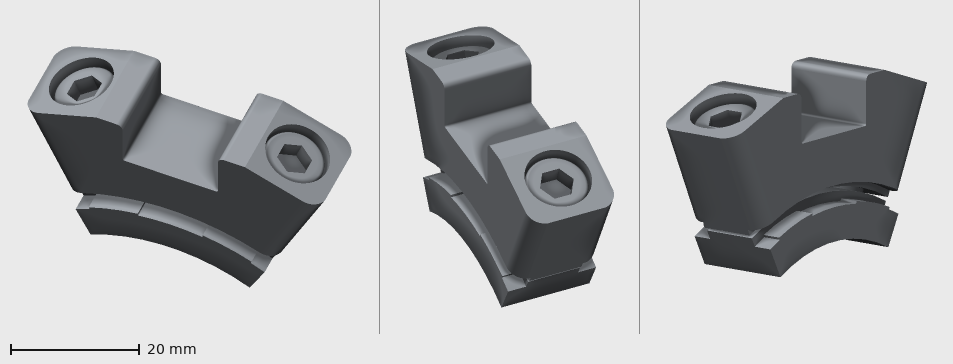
import cadquery as cq
import math


half_length = 25.15
block_width = 14.8
top_height = 54.3
shoulder_x = 12.6
slope_angle = 20.0
side_angle = 25.0
block_bottom_radius = 38.15
tongue_bottom_radius = 37.1
tongue_width = 8.85
corner_radius = 3.0
end_trim = 0.05

slot_width = 16.15
slot_depth = 8.1
slot_edge_radius = 1.0
slot_root_radius = 0.35

shoe_width = 15.0
shoe_inner_radius = 29.25
shoe_shoulder_radius = 34.75
shoe_pad_radius = 35.15
shoe_rib_radius = 36.4
shoe_half_angle = 27.4
pad_start_angle = 9.0
pad_end_angle = 23.1

screw_x = 18.3
bore_diameter = 10.6
head_diameter = 10.0
head_height = 6.0
head_recess = 1.5
head_edge_radius = 0.5
shank_diameter = 6.0
shank_end_radius = 31.15
hex_flats = 5.0
hex_depth = 3.0

slope = math.tan(math.radians(slope_angle))


def sloping_top_z(x):
    return top_height - (x - shoulder_x) * slope


def polar(radius, angle):
    """Point in XZ at an angle from vertical, positive toward +X."""
    a = math.radians(angle)
    return radius * math.sin(a), radius * math.cos(a)


def extrude_centred(outline, width):
    return outline.close().extrude(width / 2, both=True)


def end_face_foot(radius, top_x):
    """Point where the leaning end face meets a circle about the origin."""
    a = math.radians(side_angle)
    offset = top_x * math.cos(a) - sloping_top_z(top_x) * math.sin(a)
    angle = side_angle + math.degrees(math.asin(offset / radius))
    return polar(radius, angle)


def block_body(bottom_radius, width, end_x):
    foot_x, foot_z = end_face_foot(bottom_radius, end_x)
    end_z = sloping_top_z(end_x)
    outline = (
        cq.Workplane("XZ")
        .moveTo(-foot_x, foot_z)
        .threePointArc((0, bottom_radius), (foot_x, foot_z))
        .lineTo(end_x, end_z)
        .lineTo(shoulder_x, top_height)
        .lineTo(-shoulder_x, top_height)
        .lineTo(-end_x, end_z)
    )
    return extrude_centred(outline, width)


def ring_sector(inner_radius, outer_radius, start, end, width):
    middle = (start + end) / 2
    outline = (
        cq.Workplane("XZ")
        .moveTo(*polar(inner_radius, start))
        .threePointArc(polar(inner_radius, middle), polar(inner_radius, end))
        .lineTo(*polar(outer_radius, end))
        .threePointArc(polar(outer_radius, middle), polar(outer_radius, start))
    )
    return extrude_centred(outline, width)


def slot():
    floor_z = top_height - slot_depth
    cutter = (
        cq.Workplane("XY", origin=(0, 0, floor_z))
        .rect(slot_width, block_width)
        .extrude(slot_depth)
    )
    return cutter.edges("|Y and <Z").fillet(slot_root_radius)


def make_block():
    untrimmed_x = half_length + end_trim
    block = block_body(block_bottom_radius, block_width, untrimmed_x)
    lean = math.radians(side_angle)
    for side in (-1, 1):
        end_edge = cq.Vector(side * math.sin(lean), 0, math.cos(lean))
        end_edges = cq.selectors.ParallelDirSelector(end_edge)
        block = block.edges(end_edges).fillet(corner_radius)
    trim = block_body(tongue_bottom_radius, block_width, half_length)
    tongue = block_body(tongue_bottom_radius, tongue_width, half_length)
    block = block.intersect(trim).union(tongue).cut(slot())
    rim_x = (slot_width + slot_edge_radius) / 2
    slot_rims = cq.selectors.BoxSelector(
        (-rim_x, -block_width, top_height - slot_edge_radius),
        (rim_x, block_width, top_height + slot_edge_radius),
    )
    return block.edges("|Y").edges(slot_rims).fillet(slot_edge_radius)


def make_shoe():
    shoe = ring_sector(
        shoe_inner_radius, shoe_shoulder_radius, -shoe_half_angle, shoe_half_angle, shoe_width
    )
    rib = ring_sector(
        shoe_inner_radius, shoe_rib_radius, -shoe_half_angle, shoe_half_angle, tongue_width
    )
    shoe = shoe.union(rib)
    for start, end in ((pad_start_angle, pad_end_angle), (-pad_end_angle, -pad_start_angle)):
        shoe = shoe.union(ring_sector(shoe_inner_radius, shoe_pad_radius, start, end, shoe_width))
    return shoe


def screw_plane(side):
    """Plane on the sloping top, with its normal pointing out along the screw axis."""
    tilt = math.radians(slope_angle)
    return cq.Plane(
        origin=(side * screw_x, 0, sloping_top_z(screw_x)),
        xDir=(0, 1, 0),
        normal=(side * math.sin(tilt), 0, math.cos(tilt)),
    )


def make_bore(side):
    seat_depth = head_recess + head_height
    return cq.Workplane(screw_plane(side)).circle(bore_diameter / 2).extrude(-seat_depth)


def make_screw(side):
    shank_length = math.hypot(screw_x, sloping_top_z(screw_x)) - shank_end_radius
    top = cq.Workplane(screw_plane(side)).workplane(offset=-head_recess)
    head = top.circle(head_diameter / 2).extrude(-head_height)
    top_face = cq.selectors.DirectionMinMaxSelector(screw_plane(side).zDir, True)
    head = head.faces(top_face).edges().fillet(head_edge_radius)
    hex_corners = hex_flats / math.cos(math.pi / 6)
    socket = top.polygon(6, hex_corners).extrude(-hex_depth)
    shank = top.circle(shank_diameter / 2).extrude(head_recess - shank_length)
    return head.union(shank).cut(socket)


block = make_block()
result = block.union(make_shoe())
for screw_side in (-1, 1):
    result = result.cut(make_bore(screw_side)).union(make_screw(screw_side))